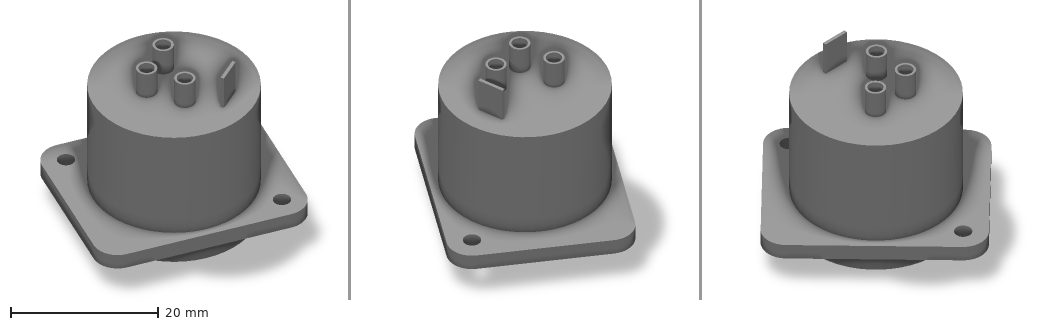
import cadquery as cq

flange_width = 26.0
flange_height = 31.0
flange_thickness = 2.3
flange_corner_radius = 3.5
screw_hole_diameter = 2.5
screw_hole_x = 9.5
screw_hole_y = 12.0

shell_diameter = 23.6
shell_front_length = 2.7
shell_rear_length = 16.3
flange_top_z = shell_front_length + flange_thickness
shell_top_z = flange_top_z + shell_rear_length

cup_diameter = 2.9
cup_bore_diameter = 2.2
cup_length = 4.0
cup_pitch_radius = 4.0
cup_positions = [
    (-cup_pitch_radius, 0),
    (cup_pitch_radius, 0),
    (0, -cup_pitch_radius),
]

tab_width = 4.0
tab_thickness = 0.5
tab_length = 5.0
tab_radius = 8.0
tab_angle = 45.0


def make_flange():
    plate = (
        cq.Workplane("XY")
        .workplane(offset=shell_front_length)
        .rect(flange_width, flange_height)
        .extrude(flange_thickness)
        .edges("|Z")
        .fillet(flange_corner_radius)
    )
    return (
        plate.faces(">Z")
        .workplane(origin=(0, 0, flange_top_z))
        .pushPoints([(screw_hole_x, screw_hole_y), (-screw_hole_x, -screw_hole_y)])
        .hole(screw_hole_diameter)
    )


def make_shell():
    return cq.Workplane("XY").circle(shell_diameter / 2).extrude(shell_top_z)


def make_solder_cups():
    """Open tubes whose bores end at the rear face of the shell."""
    return (
        cq.Workplane("XY")
        .workplane(offset=shell_top_z)
        .pushPoints(cup_positions)
        .circle(cup_diameter / 2)
        .pushPoints(cup_positions)
        .circle(cup_bore_diameter / 2)
        .extrude(cup_length)
    )


def make_ground_tab():
    tab = (
        cq.Workplane("XY")
        .workplane(offset=shell_top_z)
        .center(tab_radius, 0)
        .rect(tab_thickness, tab_width)
        .extrude(tab_length)
    )
    return tab.rotate((0, 0, 0), (0, 0, 1), tab_angle)


result = make_flange().union(make_shell()).union(make_solder_cups()).union(make_ground_tab())